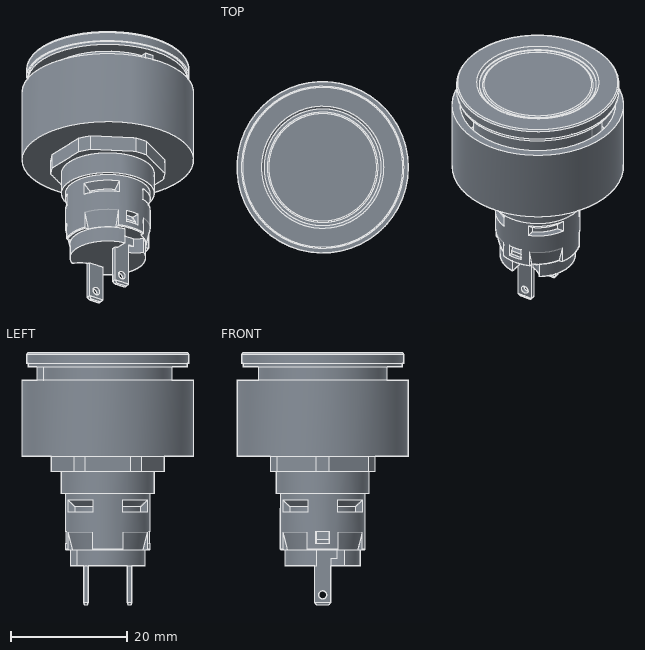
import cadquery as cq
import math

BASE_BOTTOM = 6.75
BODY_BOTTOM = 9.45
BARREL_BOTTOM = 19.15
NUT_BOTTOM = 22.95
RING_BOTTOM = 25.55
RING_TOP = 38.65
BEZEL_BOTTOM = 40.95
BEZEL_STEP = 41.55
TOP = 43.4

RING_DIAMETER = 29.5
RING_BORE = 26.7
RING_FLOOR = 3.0
BEZEL_DIAMETER = 27.9
BEZEL_LIP_DIAMETER = 27.4
BEZEL_CHAMFER_WIDTH = 0.2
BEZEL_CHAMFER_HEIGHT = 0.3
NECK_DIAMETER = 22.15
BARREL_DIAMETER = 16.0
BODY_DIAMETER = 14.6
BODY_CHAMFER = 0.15
BASE_DIAMETER = 13.0
BODY_RADIUS = BODY_DIAMETER / 2
BASE_RADIUS = BASE_DIAMETER / 2
CLEARANCE = 1.0

RECESS_TOP_DIAMETER = 21.01
RECESS_BOTTOM_DIAMETER = 20.1
RECESS_DEPTH = 0.55
RECESS_SLOPE_DEPTH = 0.4
LENS_DIAMETER = 19.0
LENS_TOP_DIAMETER = 18.5
LENS_HEIGHT = 0.2

KEY_REACH = 12.2
KEY_WIDTH = 1.6

NUT_ACROSS_FLATS = 18.0
NUT_ACROSS_CORNERS = 19.5

DIAGONAL_ANGLES = (45, 135, 225, 315)
WINDOW_BOTTOM = 16.0
WINDOW_TOP = 18.05
WINDOW_WIDTH = 6.15
WINDOW_BACK_DIAMETER = 12.3
POCKET_TOP = 12.45
POCKET_WIDTH = 5.85
POCKET_BOTTOM_RADIUS = 6.6

OPPOSITE_ANGLES = (0, 180)
LATCH_OPENING_WIDTH = 2.4
LATCH_OPENING_DEPTH = 1.6
LATCH_WIDTH = 2.1
LATCH_BOTTOM = 10.55
LATCH_TOP = 12.6
LATCH_FACE_DEPTH = 0.6
LATCH_FACE_HEIGHT = 0.7
NOTCH_SIDE_X = -1.02
NOTCH_RADIUS = 4.2
NOTCH_CENTER = (0.3, -7.75)

TERMINAL_WIDTH = 2.85
TERMINAL_THICKNESS = 0.8
TERMINAL_OFFSET = 3.75
TERMINAL_SHOULDER_WIDTH = 5.0
TERMINAL_SHOULDER_BOTTOM = 8.0
TERMINAL_EMBED = 1.0
TIP_HEIGHT = 0.45
TIP_SIDE_TAPER = 0.4
TIP_FACE_TAPER = 0.15
EYE_DIAMETER = 1.35
EYE_HEIGHT = 1.75


def cylinder(diameter, bottom, top):
    return cq.Workplane("XY").workplane(offset=bottom).circle(diameter / 2).extrude(top - bottom)


def revolved(profile):
    """Turn a closed (radius, z) profile about the Z axis."""
    return cq.Workplane("XZ").polyline(profile).close().revolve(360, (0, 0, 0), (0, 1, 0))


def around(shape, angle):
    return shape.rotate((0, 0, 0), (0, 0, 1), angle)


def make_bezel():
    lip = cylinder(BEZEL_LIP_DIAMETER, BEZEL_BOTTOM, BEZEL_STEP)
    flange = cylinder(BEZEL_DIAMETER, BEZEL_STEP, TOP)
    flange = flange.faces(">Z").edges().chamfer(BEZEL_CHAMFER_HEIGHT, BEZEL_CHAMFER_WIDTH)
    recess_floor = TOP - RECESS_DEPTH
    recess = revolved([
        (0, recess_floor),
        (RECESS_BOTTOM_DIAMETER / 2, recess_floor),
        (RECESS_BOTTOM_DIAMETER / 2, TOP - RECESS_SLOPE_DEPTH),
        (RECESS_TOP_DIAMETER / 2, TOP),
        (0, TOP),
    ])
    lens = revolved([
        (0, recess_floor),
        (LENS_DIAMETER / 2, recess_floor),
        (LENS_TOP_DIAMETER / 2, recess_floor + LENS_HEIGHT),
        (0, recess_floor + LENS_HEIGHT),
    ])
    return lip.union(flange).cut(recess).union(lens)


def make_neck_and_ring():
    bore_floor = RING_BOTTOM + RING_FLOOR
    ring = cylinder(RING_DIAMETER, RING_BOTTOM, RING_TOP).cut(cylinder(RING_BORE, bore_floor, RING_TOP))
    neck = cylinder(NECK_DIAMETER, bore_floor, BEZEL_BOTTOM)
    key = (
        cq.Workplane("XY")
        .workplane(offset=bore_floor)
        .center(0, KEY_REACH / 2)
        .rect(KEY_WIDTH, KEY_REACH)
        .extrude(BEZEL_BOTTOM - bore_floor)
    )
    return ring.union(neck).union(key)


def hexagon(across_flats):
    """Hexagonal prism at nut height, with two corners on the Y axis."""
    across_points = across_flats / math.cos(math.pi / 6)
    prism = (
        cq.Workplane("XY")
        .workplane(offset=NUT_BOTTOM)
        .polygon(6, across_points)
        .extrude(RING_BOTTOM - NUT_BOTTOM)
    )
    return around(prism, 90)


def make_nut():
    corner_trim = around(hexagon(NUT_ACROSS_CORNERS), 30)
    return hexagon(NUT_ACROSS_FLATS).intersect(corner_trim)


def narrowing_wedge(opening_width, bottom, top):
    """Wedge on +X that has the given width at the body surface and narrows inward at 45 degrees."""
    half_width = opening_width / 2
    outer = BODY_RADIUS + CLEARANCE
    apex = math.sqrt(BODY_RADIUS**2 - half_width**2) - half_width
    return (
        cq.Workplane("XY")
        .workplane(offset=bottom)
        .polyline([(apex, 0), (outer, outer - apex), (outer, apex - outer)])
        .close()
        .extrude(top - bottom)
    )


def window_cutter():
    """Window on +X: flat floor, back on a cylinder, top sloping down inward at 45 degrees."""
    back = WINDOW_BACK_DIAMETER / 2
    outer = BODY_RADIUS + CLEARANCE
    ring = revolved([
        (back, WINDOW_BOTTOM),
        (outer, WINDOW_BOTTOM),
        (outer, WINDOW_TOP + CLEARANCE),
        (back, WINDOW_TOP - (BODY_RADIUS - back)),
    ])
    return ring.intersect(narrowing_wedge(WINDOW_WIDTH, WINDOW_BOTTOM, BARREL_BOTTOM))


def pocket_cutter():
    """Pocket on +X: a conical back that deepens toward the bottom edge of the body."""
    outer = BODY_RADIUS + CLEARANCE
    cone = revolved([
        (POCKET_BOTTOM_RADIUS, BODY_BOTTOM),
        (outer, BODY_BOTTOM),
        (outer, POCKET_TOP),
        (BODY_RADIUS, POCKET_TOP),
    ])
    return cone.intersect(narrowing_wedge(POCKET_WIDTH, BODY_BOTTOM, POCKET_TOP))


def latch_cutter():
    """Opening on -Y around a narrower latch that has an upright face and a slope rising inward."""
    outer_y = -BODY_RADIUS - CLEARANCE
    back_y = LATCH_OPENING_DEPTH - BODY_RADIUS
    face_y = LATCH_FACE_DEPTH - BODY_RADIUS
    opening = (
        cq.Workplane("YZ")
        .polyline([
            (outer_y, LATCH_BOTTOM),
            (back_y, LATCH_BOTTOM),
            (back_y, LATCH_TOP),
            (outer_y, LATCH_TOP),
        ])
        .close()
        .extrude(LATCH_OPENING_WIDTH / 2, both=True)
    )
    latch = (
        cq.Workplane("YZ")
        .polyline([
            (face_y, LATCH_BOTTOM),
            (face_y, LATCH_BOTTOM + LATCH_FACE_HEIGHT),
            (back_y, LATCH_TOP),
            (back_y, LATCH_BOTTOM),
        ])
        .close()
        .extrude(LATCH_WIDTH / 2, both=True)
    )
    return opening.cut(latch)


def notch_cutter():
    """Round-backed notch on -Y of the base, closed by a flat wall on its -X side."""
    height = BODY_BOTTOM - BASE_BOTTOM
    round_part = (
        cq.Workplane("XY")
        .workplane(offset=BASE_BOTTOM)
        .center(*NOTCH_CENTER)
        .circle(NOTCH_RADIUS)
        .extrude(height)
    )
    right_of_wall = (
        cq.Workplane("XY")
        .workplane(offset=BASE_BOTTOM)
        .center(NOTCH_SIDE_X + BASE_RADIUS, -BASE_RADIUS)
        .rect(BASE_DIAMETER, BASE_DIAMETER)
        .extrude(height)
    )
    return round_part.intersect(right_of_wall)


def make_body():
    body = cylinder(BODY_DIAMETER, BODY_BOTTOM, BARREL_BOTTOM).faces("<Z").chamfer(BODY_CHAMFER)
    base = cylinder(BASE_DIAMETER, BASE_BOTTOM, BODY_BOTTOM)
    for angle in DIAGONAL_ANGLES:
        body = body.cut(around(window_cutter(), angle))
        body = body.cut(around(pocket_cutter(), angle))
    for angle in OPPOSITE_ANGLES:
        body = body.cut(around(latch_cutter(), angle))
        base = base.cut(around(notch_cutter(), angle))
    barrel = cylinder(BARREL_DIAMETER, BARREL_BOTTOM, NUT_BOTTOM)
    return barrel.union(body).union(base)


def make_terminal():
    """Terminal on -Y: a shouldered blade with an eye and a tip tapered on all four sides."""
    half_width = TERMINAL_WIDTH / 2
    half_shoulder = TERMINAL_SHOULDER_WIDTH / 2
    half_thickness = TERMINAL_THICKNESS / 2
    blade_top = BODY_BOTTOM + TERMINAL_EMBED
    right_edge = [
        (half_width - TIP_SIDE_TAPER, 0),
        (half_width, TIP_HEIGHT),
        (half_width, TERMINAL_SHOULDER_BOTTOM),
        (half_shoulder, TERMINAL_SHOULDER_BOTTOM),
        (half_shoulder, blade_top),
    ]
    left_edge = [(-x, z) for x, z in reversed(right_edge)]
    blade = (
        cq.Workplane("XZ")
        .polyline(right_edge + left_edge)
        .close()
        .extrude(half_thickness, both=True)
    )
    front_edge = [
        (half_thickness - TIP_FACE_TAPER, 0),
        (half_thickness, TIP_HEIGHT),
        (half_thickness, blade_top),
    ]
    back_edge = [(-y, z) for y, z in reversed(front_edge)]
    side_profile = (
        cq.Workplane("YZ")
        .polyline(front_edge + back_edge)
        .close()
        .extrude(half_shoulder, both=True)
    )
    eye = (
        cq.Workplane("XZ")
        .center(0, EYE_HEIGHT)
        .circle(EYE_DIAMETER / 2)
        .extrude(TERMINAL_THICKNESS, both=True)
    )
    return blade.intersect(side_profile).cut(eye).translate((0, -TERMINAL_OFFSET, 0))


result = make_bezel().union(make_neck_and_ring()).union(make_nut()).union(make_body())
for side_angle in OPPOSITE_ANGLES:
    result = result.union(around(make_terminal(), side_angle))